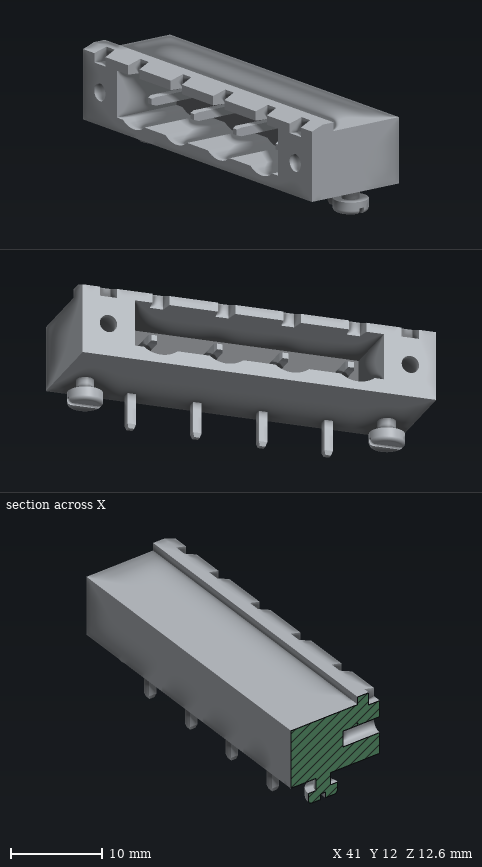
import cadquery as cq
import math


length = 41.05
depth = 12.0
rear_height = 7.55
lip_height = 8.55
lip_depth = 3.0
bevel_depth = 1.48
bevel_drop = 0.55

pin_count = 4
pin_row_span = 22.85
pin_pitch = pin_row_span / (pin_count - 1)
pin_width = 1.0
pin_axis_height = 3.78
pin_front_gap = 2.2
tail_back_gap = 2.0
tail_y = depth - tail_back_gap
tail_length = 4.05
tip_length = 0.5
tip_inset = 0.15
pin_xs = [i * pin_pitch - pin_row_span / 2 for i in range(pin_count)]

cavity_end_wall = 6.08
cavity_floor = 1.6
cavity_top = 6.95
cavity_depth = 8.2
scallop_width = 3.9
scallop_drop = 0.65

notch_back_width = 1.5
notch_front_width = 2.0

flange_offset = 3.0
flange_xs = [flange_offset - length / 2, length / 2 - flange_offset]
front_hole_diameter = 2.0
front_hole_depth = 4.93
screw_y = 7.65
screw_shaft_diameter = 2.0
screw_shaft_length = 1.5
screw_head_diameter = 4.0
screw_head_height = 1.48
screw_head_round = 0.5
screw_slot_width = 0.6
screw_slot_depth = 0.75


def box(x_range, y_range, z_range):
    """Axis-aligned block given by its limits along each axis."""
    (x0, x1), (y0, y1), (z0, z1) = x_range, y_range, z_range
    return cq.Workplane("XY").box(x1 - x0, y1 - y0, z1 - z0, centered=False).translate((x0, y0, z0))


def housing():
    """Side profile with a raised, bevelled front lip, extruded over the full length."""
    return (
        cq.Workplane("YZ")
        .polyline([
            (0, 0),
            (depth, 0),
            (depth, rear_height),
            (lip_depth, rear_height),
            (lip_depth, lip_height),
            (bevel_depth, lip_height),
            (0, lip_height - bevel_drop),
        ])
        .close()
        .extrude(length / 2, both=True)
    )


def cavity():
    """Front opening with one shallow round trough in its floor below each pin."""
    half_width = length / 2 - cavity_end_wall
    opening = box((-half_width, half_width), (0, cavity_depth), (cavity_floor, cavity_top))
    radius = ((scallop_width / 2) ** 2 + scallop_drop ** 2) / (2 * scallop_drop)
    trough_axis = cavity_floor - scallop_drop + radius
    for x in pin_xs:
        trough = (
            cq.Workplane("XZ")
            .moveTo(x - scallop_width / 2, cavity_floor)
            .threePointArc((x, trough_axis - radius), (x + scallop_width / 2, cavity_floor))
            .close()
            .extrude(-cavity_depth)
        )
        opening = opening.union(trough)
    return opening


def notch(x):
    """Notch through the lip that widens towards the front."""
    return (
        cq.Workplane("XY", origin=(x, 0, cavity_top))
        .polyline([
            (-notch_front_width / 2, 0),
            (notch_front_width / 2, 0),
            (notch_back_width / 2, bevel_depth),
            (-notch_back_width / 2, bevel_depth),
        ])
        .close()
        .extrude(lip_height - cavity_top)
    )


def pin_leg(start, direction, leg_length):
    """Square bar from a start point along a direction, ending in a tapered tip."""
    bar_length = leg_length - tip_length
    tip_taper = math.degrees(math.atan(tip_inset / tip_length))
    base = cq.Workplane(cq.Plane(origin=start, xDir=(1, 0, 0), normal=direction))
    bar = base.rect(pin_width, pin_width).extrude(bar_length)
    tip = base.workplane(offset=bar_length).rect(pin_width, pin_width).extrude(tip_length, taper=tip_taper)
    return bar.union(tip)


def pin(x):
    """Right-angle square pin: contact towards the front, solder tail straight down."""
    contact = pin_leg((x, tail_y, pin_axis_height), (0, -1, 0), tail_y - pin_front_gap)
    tail = pin_leg((x, tail_y, pin_axis_height), (0, 0, -1), pin_axis_height + tail_length)
    return contact.union(tail)


def front_hole(x):
    """Blind round hole in the front face of a flange."""
    return (
        cq.Workplane("XZ", origin=(x, 0, pin_axis_height))
        .circle(front_hole_diameter / 2)
        .extrude(-front_hole_depth)
    )


def screw(x):
    """Slotted round-edged screw standing out below the housing."""
    head_bottom = -screw_shaft_length - screw_head_height
    slot_half = screw_slot_width / 2
    head_radius = screw_head_diameter / 2
    head = (
        cq.Workplane("XY", origin=(x, screw_y, head_bottom))
        .circle(head_radius)
        .extrude(screw_head_height)
        .faces("<Z").edges().fillet(screw_head_round)
    )
    slot = box((x - head_radius, x + head_radius), (screw_y - slot_half, screw_y + slot_half),
               (head_bottom, head_bottom + screw_slot_depth))
    shaft = (
        cq.Workplane("XY", origin=(x, screw_y, -screw_shaft_length))
        .circle(screw_shaft_diameter / 2)
        .extrude(screw_shaft_length)
    )
    return head.cut(slot).union(shaft)


result = housing().cut(cavity())
for x in pin_xs + flange_xs:
    result = result.cut(notch(x))
for x in pin_xs:
    result = result.union(pin(x))
for x in flange_xs:
    result = result.cut(front_hole(x)).union(screw(x))